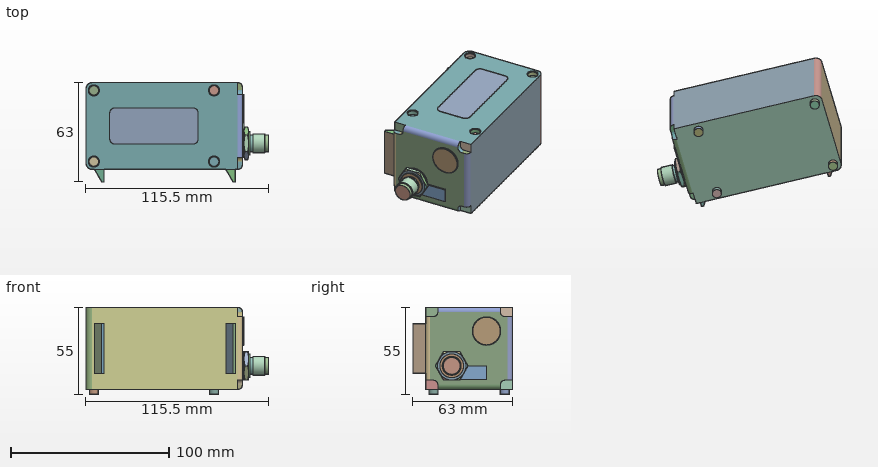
import cadquery as cq
import math

body_length = 95.8
body_depth = 55.0
body_height = 52.0
rear_edge_radius = 4.0

cover_thickness = 3.2
cover_edge_radius = 3.0
notch_depth_y = 7.7
notch_depth_z = 5.9
notch_corner_radius = 2.8

socket_first_x = 5.0
socket_pitch_x = 76.0
socket_edge_margin = 5.0
socket_diameter = 6.0
socket_depth = 3.0
socket_chamfer = 0.5
foot_diameter = 5.8
foot_height = 3.0

label_length = 56.0
label_width = 23.0
label_corner_radius = 3.5
label_depth = 0.3

clip_first_x = 5.4
clip_pitch_x = 83.0
clip_width = 6.1
clip_tip_width = 1.5
clip_reach = 8.0
clip_height = 31.5

disc_diameter = 18.0
disc_thickness = 1.0
disc_chamfer = 0.3
connector_y = 16.5
connector_z = 15.0
upper_disc_y = body_depth - connector_y
upper_disc_z = body_height - connector_z
nut_across_flats = 18.0
nut_thickness = 2.8
nut_chamfer_length = 0.6
flange_diameter = 15.0
flange_thickness = 1.0
neck_diameter = 10.7
neck_length = 1.7
thread_diameter = 12.0
thread_length = 7.6
thread_bevel = 0.2
overall_length = 115.5

cover_face_x = body_length + cover_thickness
disc_face_x = cover_face_x + disc_thickness
socket_points = [
    (x, y)
    for x in (socket_first_x, socket_first_x + socket_pitch_x)
    for y in (socket_edge_margin, body_depth - socket_edge_margin)
]


def end_plane(x, y=0.0, z=0.0):
    """Plane facing +X; its local axes run along world Y and Z."""
    return cq.Workplane("YZ", origin=(x, y, z))


def make_housing():
    block = cq.Workplane("XY").box(body_length, body_depth, body_height, centered=False)
    return block.edges("|Z and <X").fillet(rear_edge_radius)


def make_cover():
    """Plate with a rounded outer rim and a rounded notch in each corner."""
    plate = end_plane(body_length).rect(body_depth, body_height, centered=False).extrude(cover_thickness)
    plate = plate.faces(">X").edges().fillet(cover_edge_radius)
    corners = [(y, z) for y in (0, body_depth) for z in (0, body_height)]
    notches = (
        end_plane(body_length)
        .pushPoints(corners)
        .rect(2 * notch_depth_y, 2 * notch_depth_z)
        .extrude(cover_thickness)
        .edges("|X")
        .fillet(notch_corner_radius)
    )
    return plate.cut(notches)


def make_feet():
    return cq.Workplane("XY").pushPoints(socket_points).circle(foot_diameter / 2).extrude(-foot_height)


def make_sockets():
    """Cutters for the blind sockets with chamfered mouths."""
    radius = socket_diameter / 2
    mouth_radius = radius + socket_chamfer
    cutter = (
        cq.Workplane("XZ")
        .moveTo(0, 0)
        .lineTo(mouth_radius, 0)
        .lineTo(radius, -socket_chamfer)
        .lineTo(radius, -socket_depth)
        .lineTo(0, -socket_depth)
        .close()
        .revolve(360, (0, 0), (0, 1))
    )
    return [cutter.translate((x, y, body_height)) for x, y in socket_points]


def make_label_recess():
    center_x = socket_first_x + socket_pitch_x / 2
    return (
        cq.Workplane("XY", origin=(center_x, body_depth / 2, body_height))
        .rect(label_length, label_width)
        .extrude(-label_depth)
        .edges("|Z")
        .fillet(label_corner_radius)
    )


def make_clip(x):
    """Wedge with its sloping flank toward -X, centred on the housing height."""
    bottom_z = (body_height - clip_height) / 2
    outer_x = x + clip_width
    outline = [(x, 0), (outer_x, 0), (outer_x, -clip_reach), (outer_x - clip_tip_width, -clip_reach)]
    return cq.Workplane("XY", origin=(0, 0, bottom_z)).polyline(outline).close().extrude(clip_height)


def make_disc(y, z):
    disc = end_plane(cover_face_x, y, z).circle(disc_diameter / 2).extrude(disc_thickness)
    return disc.faces(">X").chamfer(disc_chamfer)


def make_bridge():
    """Flat bar beside the lower disc, reaching under the upper one."""
    return (
        end_plane(cover_face_x, connector_y, connector_z)
        .rect(upper_disc_y - connector_y, -disc_diameter / 2 + disc_chamfer, centered=False)
        .extrude(disc_thickness)
    )


def revolve_about_connector(profile):
    """Solid of revolution from (x, radius) points, about the connector axis."""
    return (
        cq.Workplane("XY", origin=(0, connector_y, connector_z))
        .polyline(profile)
        .close()
        .revolve(360, (0, 0), (1, 0))
    )


def make_nut():
    """Hexagon with corners toward +Y and -Y, its corners turned conical at both ends."""
    flat_radius = nut_across_flats / 2
    corner_radius = flat_radius / math.cos(math.pi / 6)
    end_x = disc_face_x + nut_thickness
    base = end_plane(disc_face_x, connector_y, connector_z)
    hexagon = base.polygon(6, 2 * corner_radius).extrude(nut_thickness)
    envelope = revolve_about_connector([
        (disc_face_x, 0),
        (disc_face_x, flat_radius),
        (disc_face_x + nut_chamfer_length, corner_radius),
        (end_x - nut_chamfer_length, corner_radius),
        (end_x, flat_radius),
        (end_x, 0),
    ])
    return hexagon.intersect(envelope)


def make_connector_barrel():
    """Flange, neck, bevelled thread and nose in one turned profile."""
    flange_start = disc_face_x + nut_thickness
    flange_end = flange_start + flange_thickness
    thread_start = flange_end + neck_length
    thread_end = thread_start + thread_length
    neck_radius = neck_diameter / 2
    thread_radius = thread_diameter / 2
    return revolve_about_connector([
        (flange_start, 0),
        (flange_start, flange_diameter / 2),
        (flange_end, flange_diameter / 2),
        (flange_end, neck_radius),
        (thread_start, neck_radius),
        (thread_start, thread_radius - thread_bevel),
        (thread_start + thread_bevel, thread_radius),
        (thread_end - thread_bevel, thread_radius),
        (thread_end, thread_radius - thread_bevel),
        (thread_end, neck_radius),
        (overall_length, neck_radius),
        (overall_length, 0),
    ])


result = make_housing().union(make_cover()).union(make_feet())
for clip_x in (clip_first_x, clip_first_x + clip_pitch_x):
    result = result.union(make_clip(clip_x))
for disc_y, disc_z in ((upper_disc_y, upper_disc_z), (connector_y, connector_z)):
    result = result.union(make_disc(disc_y, disc_z))
result = result.union(make_bridge()).union(make_nut()).union(make_connector_barrel())
for socket in make_sockets():
    result = result.cut(socket)
result = result.cut(make_label_recess())